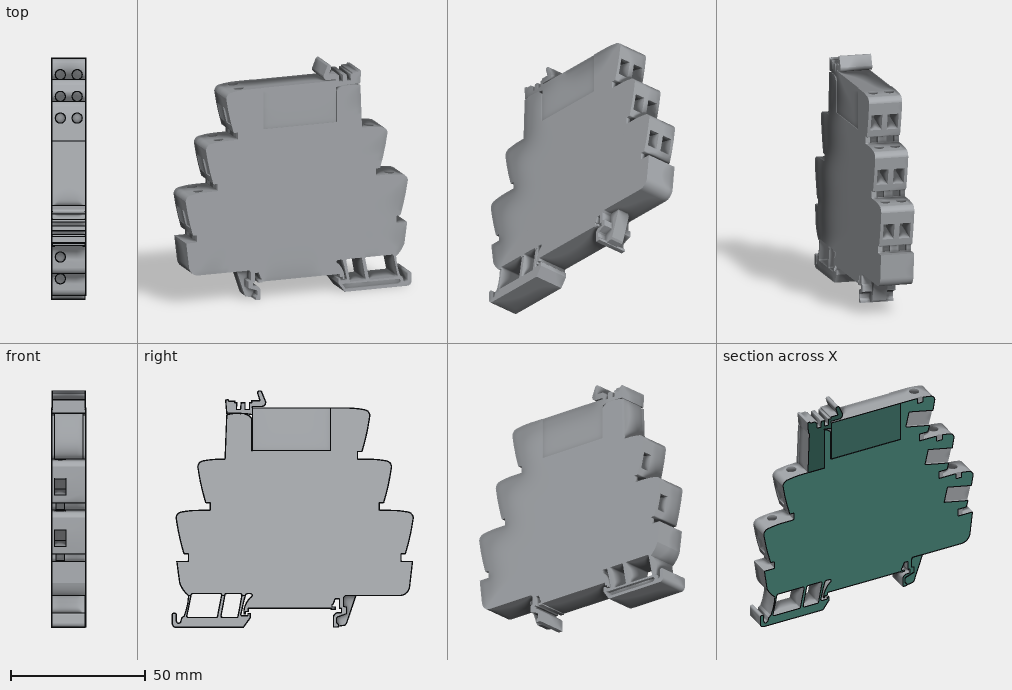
import cadquery as cq
import math

WIDTH = 12.8
MID_Y = 0.7
UNDERSIDE_Z = -32.1

TIER_PITCH_Y = 8.1
TIER_PITCH_Z = 19.0
LOW_TIER_REACH = 44.1
LOW_TIER_TOP = -0.4
NOSE_HEIGHT = 16.2
NOSE_LEAN = 2.95
NOSE_BULGE = 0.3
NOSE_ROUND_WIDTH = 2.0
NOSE_ROUND_DROP = 2.9
CROWN_LENGTH = 8.5
CROWN_DROP = 0.6
LIP_ROUND = 0.45
NOTCH_ROUND = 0.3
NOTCH_INSET = 4.6

COLUMN_X = 3.1
SCREW_DIAMETER = 3.8
SCREW_DEPTH = 2.2
SCREW_INSET = 6.2
POCKET_WIDTH = 4.2
POCKET_HEIGHT = 6.2
POCKET_DEPTH = 9.85
POCKET_DROP = 10.3
BRIDGE_WIDTH = 3.0
BRIDGE_DEPTH = 1.8

BASE_REACH = 43.8
BASE_LEAN = 1.1
REAR_CORNER_WIDTH = 3.85
REAR_CORNER_HEIGHT = 3.5
REAR_CORNER_BULGE = 0.7
FRONT_CORNER_WIDTH = 3.3
FRONT_CORNER_HEIGHT = 4.7
FRONT_CORNER_BULGE = 0.3

RELAY_SIDE_GAP = 0.3
RELAY_REAR_Y = 14.0
RELAY_FRONT_Y = -14.95
RELAY_FLOOR_Z = 21.8

TOWER_REAR_Y = -15.2
TOWER_TOP_Z = 35.55
TOWER_FRONT_TOP_Y = -24.5
TOWER_FRONT_FOOT_Y = -25.2
TOWER_CORNER_Z = 33.7
TOWER_WALL = 1.2
TOWER_WEB = 2.7
EJECTOR_CLEARANCE = 0.2
PLATE_RECESS = 0.4

FOOT_RELIEF = 0.4
WINDOW_TOP_Z = -31.3
WINDOW_BOTTOM_Z = -40.1
WINDOW_ROUND = 0.45
GROOVE_DEPTH = 1.3

LATCH_WIDTH = 5.4
LATCH_RIM_WIDTH = 0.45
LATCH_RIM_DEPTH = 0.45
LATCH_TOE = (23.5, UNDERSIDE_Z)
LATCH_SEAM = [
    (19.5, UNDERSIDE_Z),
    (18.8, -32.8),
    (18.8, -36.0),
    (19.9, -36.4),
    (19.9, -38.8),
    (16.7, -39.9),
    (16.2, -40.4),
    (16.2, -42.0),
    (16.9, -42.8),
    (16.9, -43.4),
]

LOW_TIER_FLOOR = LOW_TIER_TOP - TIER_PITCH_Z
HIGH_TIER_TOP = LOW_TIER_TOP + 2 * TIER_PITCH_Z
TOWER_FOOT_Z = LOW_TIER_TOP + TIER_PITCH_Z
REAR, FRONT = 1, -1
TIERS = [(REAR, level, (-COLUMN_X, COLUMN_X)) for level in range(3)]
TIERS += [(FRONT, level, (-COLUMN_X,)) for level in range(2)]


def profile(start_x=-WIDTH / 2):
    """Sketch plane whose local axes are Y and Z, looking along X."""
    return cq.Workplane("YZ", origin=(start_x, 0, 0))


def box(x_range, y_range, z_range):
    """Box given by its limits along each axis."""
    sizes = [high - low for low, high in (x_range, y_range, z_range)]
    corner = (x_range[0], y_range[0], z_range[0])
    return cq.Workplane("XY").box(*sizes, centered=False).translate(corner)


def tier_reach(level):
    return LOW_TIER_REACH - level * TIER_PITCH_Y


def tier_top(level):
    return LOW_TIER_TOP + level * TIER_PITCH_Z


def mirrored_to(side, body):
    """Place a shape drawn on the +Y side of Y = 0 on the given side of MID_Y."""
    if side == FRONT:
        body = body.mirror("XZ")
    return body.translate((0, MID_Y, 0))


def tier(side, level):
    """One step of the housing with its rounded, leaning nose and the notch below."""
    tip = tier_reach(level)
    top = tier_top(level)
    notch_z = top - NOSE_HEIGHT
    floor_z = top - TIER_PITCH_Z
    body = (
        profile()
        .moveTo(0, top)
        .lineTo(tip - CROWN_LENGTH, top)
        .tangentArcPoint((tip - NOSE_ROUND_WIDTH, top - CROWN_DROP), relative=False)
        .tangentArcPoint((tip, top - NOSE_ROUND_DROP), relative=False)
        .threePointArc(
            (tip - NOSE_LEAN / 2 + NOSE_BULGE, (top - NOSE_ROUND_DROP + notch_z) / 2),
            (tip - NOSE_LEAN, notch_z),
        )
        .lineTo(tip - NOTCH_INSET, notch_z)
        .lineTo(tip - NOTCH_INSET, floor_z + NOTCH_ROUND)
        .tangentArcPoint((tip - NOTCH_INSET + NOTCH_ROUND, floor_z), relative=False)
        .lineTo(0, floor_z)
        .close()
        .extrude(WIDTH)
    )
    lip = cq.selectors.NearestToPointSelector((0, tip - NOSE_LEAN, notch_z))
    return mirrored_to(side, body.edges("|X").edges(lip).fillet(LIP_ROUND))


def screw_hole(side, level, x):
    top = tier_top(level)
    y = tier_reach(level) - SCREW_INSET
    hole = (
        cq.Workplane("XY", origin=(x, y, top - SCREW_DEPTH))
        .circle(SCREW_DIAMETER / 2)
        .extrude(SCREW_DEPTH)
    )
    return mirrored_to(side, hole)


def wire_pocket(side, level, x):
    """Rectangular wire entry, square to the leaning nose."""
    lean_angle = math.degrees(math.atan(NOSE_LEAN / (NOSE_HEIGHT - NOSE_ROUND_DROP)))
    mouth_y = tier_reach(level) - NOSE_LEAN * POCKET_DROP / NOSE_HEIGHT
    mouth_z = tier_top(level) - POCKET_DROP
    outside = 1.8
    pocket = (
        cq.Workplane("XY")
        .box(POCKET_WIDTH, POCKET_DEPTH + outside, POCKET_HEIGHT)
        .translate((0, (outside - POCKET_DEPTH) / 2, 0))
        .rotate((0, 0, 0), (1, 0, 0), -lean_angle)
        .translate((x, mouth_y, mouth_z))
    )
    return mirrored_to(side, pocket)


def bridge_slot(side, level, x):
    """Slot in the wall of the notch below a tier."""
    wall_y = tier_reach(level) - NOTCH_INSET
    floor_z = tier_top(level) - TIER_PITCH_Z
    slot = box(
        (x - BRIDGE_WIDTH / 2, x + BRIDGE_WIDTH / 2),
        (wall_y - BRIDGE_DEPTH, wall_y),
        (floor_z, floor_z + TIER_PITCH_Z - NOSE_HEIGHT),
    )
    return mirrored_to(side, slot)


def base_half(side, corner_width, corner_height, corner_bulge):
    """Lowest part of the housing on one side, with its rounded bottom corner."""
    corner_top = UNDERSIDE_Z + corner_height
    heel = BASE_REACH - BASE_LEAN
    corner_middle = (
        heel - corner_width / 2 + corner_bulge,
        UNDERSIDE_Z + corner_height / 2 - corner_bulge,
    )
    body = (
        profile()
        .moveTo(0, LOW_TIER_FLOOR)
        .lineTo(BASE_REACH, LOW_TIER_FLOOR)
        .lineTo(heel, corner_top)
        .threePointArc(corner_middle, (heel - corner_width, UNDERSIDE_Z))
        .lineTo(0, UNDERSIDE_Z)
        .close()
        .extrude(WIDTH)
    )
    return mirrored_to(side, body)


def tower():
    """Upright in front of the relay, hollowed between two side walls for the ejector."""
    body = (
        profile()
        .moveTo(TOWER_REAR_Y, TOWER_FOOT_Z)
        .lineTo(TOWER_REAR_Y, TOWER_CORNER_Z)
        .threePointArc((-16.4, 34.8), (-19.3, 35.5))
        .threePointArc((-21.5, TOWER_TOP_Z), (TOWER_FRONT_TOP_Y, 35.0))
        .lineTo(TOWER_FRONT_FOOT_Y, TOWER_FOOT_Z)
        .close()
        .extrude(WIDTH)
    )
    inner = WIDTH / 2 - TOWER_WALL
    hollow = box(
        (-inner, inner),
        (TOWER_FRONT_FOOT_Y, TOWER_REAR_Y - TOWER_WEB),
        (TOWER_FOOT_Z, HIGH_TIER_TOP),
    )
    return body.cut(hollow)


def rail_side():
    """Lower edge between the rail grips: latch hook at the rear, springy tongue at the front."""
    return (
        profile()
        .moveTo(LATCH_SEAM[0][0], WINDOW_TOP_Z)
        .polyline(LATCH_SEAM, includeCurrent=True)
        .lineTo(16.9, -43.7)
        .lineTo(15.0, -43.7)
        .lineTo(15.0, -40.3)
        .threePointArc((15.6, -38.95), (16.9, -38.3))
        .lineTo(18.1, -38.3)
        .lineTo(18.1, -36.8)
        .lineTo(17.3, -36.8)
        .lineTo(17.3, -33.2)
        .lineTo(15.8, -33.2)
        .lineTo(14.95, -35.4)
        .lineTo(14.6, -35.4)
        .lineTo(14.6, -36.3)
        .lineTo(15.85, -36.3)
        .lineTo(15.85, -37.2)
        .lineTo(14.2, -37.2)
        .lineTo(14.2, -36.8)
        .lineTo(-16.5, -36.8)
        .lineTo(-16.5, -38.0)
        .lineTo(-17.55, -38.0)
        .lineTo(-17.55, -38.9)
        .lineTo(-18.2, -38.9)
        .lineTo(-18.2, -37.7)
        .threePointArc((-17.3, -34.8), (-15.2, -32.3))
        .lineTo(-15.2, WINDOW_TOP_Z)
        .close()
        .extrude(WIDTH)
    )


def foot():
    """Fixed rail foot: struts, bottom bar and a turned-up lip at each end."""
    return (
        profile()
        .moveTo(-17.4, WINDOW_TOP_Z)
        .lineTo(-18.2, -34.2)
        .lineTo(-19.2, -38.8)
        .threePointArc((-19.2, -39.3), (-18.7, -39.5))
        .lineTo(-16.7, -39.5)
        .lineTo(-16.7, -38.6)
        .lineTo(-15.8, -38.6)
        .lineTo(-15.8, -40.3)
        .lineTo(-18.4, -43.9)
        .lineTo(-43.2, -43.9)
        .tangentArcPoint((-44.8, -42.3), relative=False)
        .lineTo(-44.8, -39.3)
        .threePointArc((-44.0, -38.5), (-43.2, -39.3))
        .lineTo(-43.2, -41.5)
        .threePointArc((-42.4, -42.3), (-41.55, -41.5))
        .lineTo(-41.2, -40.3)
        .lineTo(-40.3, -39.6)
        .threePointArc((-39.4, -36.7), (-38.7, UNDERSIDE_Z))
        .lineTo(-38.7, WINDOW_TOP_Z)
        .close()
        .extrude(WIDTH - FOOT_RELIEF)
    )


def foot_window(top_rear_y, top_front_y, bottom_rear_y, bottom_front_y):
    """Opening between two struts, through the whole thickness."""
    return (
        profile()
        .moveTo(top_rear_y, WINDOW_TOP_Z)
        .lineTo(top_front_y, WINDOW_TOP_Z)
        .lineTo(bottom_front_y, WINDOW_BOTTOM_Z)
        .lineTo(bottom_rear_y, WINDOW_BOTTOM_Z)
        .close()
        .extrude(WIDTH)
        .edges("|X")
        .fillet(WINDOW_ROUND)
    )


def tongue_slot_end():
    """Closed upper end of the slot between the tongue and the first strut."""
    slot_low_z = -32.3
    return (
        profile()
        .moveTo(-15.2, slot_low_z)
        .threePointArc((-15.1, -31.7), (-15.7, WINDOW_TOP_Z))
        .lineTo(-16.9, WINDOW_TOP_Z)
        .threePointArc((-17.4, -31.6), (-17.6, slot_low_z))
        .close()
        .extrude(WIDTH)
    )


def foot_groove():
    """Shallow recess along the bottom bar, in the -X face."""
    return (
        profile()
        .moveTo(-17.3, -40.75)
        .lineTo(-39.6, -40.9)
        .threePointArc((-40.5, -41.8), (-39.6, -42.8))
        .lineTo(-18.7, -42.8)
        .close()
        .extrude(GROOVE_DEPTH)
    )


def relay_seat():
    return box((-WIDTH / 2, WIDTH / 2), (TOWER_REAR_Y, RELAY_REAR_Y), (RELAY_FLOOR_Z, HIGH_TIER_TOP))


def make_housing():
    rear_base = base_half(REAR, REAR_CORNER_WIDTH, REAR_CORNER_HEIGHT, REAR_CORNER_BULGE)
    front_base = base_half(FRONT, FRONT_CORNER_WIDTH, FRONT_CORNER_HEIGHT, FRONT_CORNER_BULGE)
    body = rear_base.union(front_base)
    for side, level, _ in TIERS:
        body = body.union(tier(side, level))
    body = body.union(box((-WIDTH / 2, WIDTH / 2), (TOWER_REAR_Y, MID_Y), (TOWER_FOOT_Z, RELAY_FLOOR_Z)))
    body = body.union(tower()).union(rail_side()).union(foot())
    body = body.cut(relay_seat())
    for side, level, columns in TIERS:
        for x in columns:
            body = body.cut(screw_hole(side, level, x))
            body = body.cut(wire_pocket(side, level, x))
            body = body.cut(bridge_slot(side, level, x))
    body = body.cut(tongue_slot_end())
    body = body.cut(
        foot_window(top_rear_y=-18.8, top_front_y=-25.1, bottom_rear_y=-20.4, bottom_front_y=-26.7)
    )
    body = body.cut(
        foot_window(top_rear_y=-26.3, top_front_y=-37.6, bottom_rear_y=-28.0, bottom_front_y=-39.4)
    )
    return body.cut(foot_groove())


def make_relay():
    half = WIDTH / 2 - RELAY_SIDE_GAP
    return box((-half, half), (RELAY_FRONT_Y, RELAY_REAR_Y), (RELAY_FLOOR_Z, HIGH_TIER_TOP))


def make_ejector():
    """Lever with finger hook and grip ridges on a plate standing between the tower walls."""
    grip_top = 40.1
    ridge_top = 39.6
    groove_floor = 37.1
    half = WIDTH / 2 - RELAY_SIDE_GAP
    head = (
        profile(-half)
        .moveTo(RELAY_FRONT_Y, 35.1)
        .lineTo(RELAY_FRONT_Y, 38.15)
        .lineTo(-11.8, 38.15)
        .threePointArc((-10.6, 38.5), (-10.0, 39.9))
        .lineTo(-11.5, 43.4)
        .threePointArc((-12.4, 44.0), (-13.1, 43.2))
        .lineTo(-12.2, 40.3)
        .lineTo(-15.2, 40.3)
        .lineTo(-15.2, ridge_top)
        .lineTo(-16.1, ridge_top)
        .lineTo(-16.1, groove_floor)
        .lineTo(-17.6, groove_floor)
        .lineTo(-17.6, ridge_top)
        .lineTo(-19.2, ridge_top)
        .lineTo(-19.4, groove_floor)
        .lineTo(-20.9, groove_floor)
        .lineTo(-20.7, ridge_top)
        .lineTo(-21.5, ridge_top)
        .lineTo(-21.5, grip_top)
        .lineTo(-23.6, grip_top)
        .lineTo(-24.1, 40.75)
        .lineTo(-24.9, 40.6)
        .lineTo(-24.9, 39.85)
        .lineTo(TOWER_FRONT_TOP_Y, 35.6)
        .threePointArc((-20.4, TOWER_TOP_Z + EJECTOR_CLEARANCE), (RELAY_FRONT_Y, 35.1))
        .close()
        .extrude(2 * half)
    )
    inner = WIDTH / 2 - TOWER_WALL
    plate_rear_y = TOWER_REAR_Y - TOWER_WEB
    plate_top_z = 36.3
    plate = (
        profile(-inner)
        .moveTo(plate_rear_y, TOWER_FOOT_Z)
        .lineTo(plate_rear_y, plate_top_z)
        .lineTo(TOWER_FRONT_TOP_Y + PLATE_RECESS, plate_top_z)
        .lineTo(TOWER_FRONT_FOOT_Y + PLATE_RECESS, TOWER_FOOT_Z)
        .close()
        .extrude(2 * inner)
    )
    return head.union(plate)


def make_latch():
    """Wedge bearing on the rail hook, with a stepped rim along the seam."""
    wedge = (
        profile(-LATCH_WIDTH / 2)
        .moveTo(*LATCH_TOE)
        .polyline(LATCH_SEAM, includeCurrent=True)
        .lineTo(19.3, -43.1)
        .lineTo(20.0, -42.4)
        .close()
        .extrude(LATCH_WIDTH)
    )
    rim = (
        profile(-LATCH_WIDTH / 2)
        .polyline([LATCH_TOE] + LATCH_SEAM)
        .offset2D(LATCH_RIM_WIDTH)
        .extrude(LATCH_RIM_DEPTH)
    )
    return wedge.cut(rim)


housing = make_housing()
relay = make_relay()
ejector = make_ejector()
latch = make_latch()

bodies = [housing, relay, ejector, latch]
result = cq.Compound.makeCompound([body.solids().val() for body in bodies])